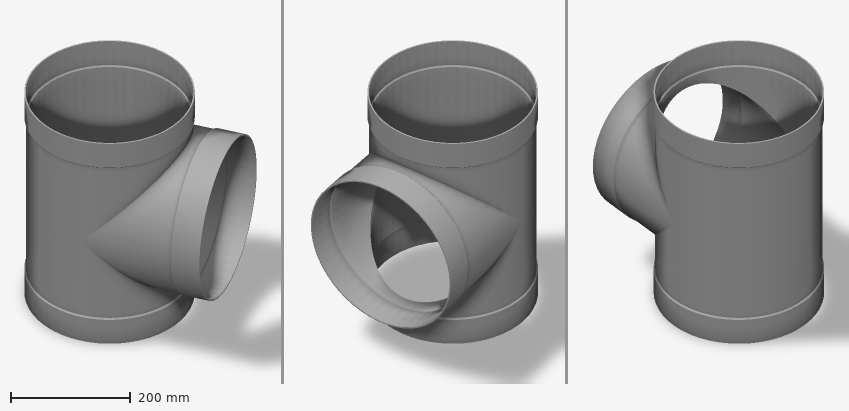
import cadquery as cq

height = 420.0
wall = 2.5
pipe_bore = 275.0
socket_length = 50.0
branch_reach = 210.0

pipe_diameter = pipe_bore + 2 * wall
socket_diameter = pipe_diameter + 2 * wall
half_height = height / 2
flare_length = wall


def rod(axis_plane, diameter, start, end):
    """Solid cylinder between two offsets along the normal of the plane."""
    return cq.Workplane(axis_plane).workplane(offset=start).circle(diameter / 2).extrude(end - start)


def socket_plug(axis_plane, diameter, mouth, outward):
    """Solid cylinder ending at the mouth, its inner end beveled by one wall thickness."""
    inner_end = mouth - outward * (socket_length + flare_length)
    plug = rod(axis_plane, diameter, inner_end, mouth)
    axis = {"XY": "Z", "YZ": "X"}[axis_plane]
    inner_side = "<" if outward > 0 else ">"
    return plug.faces(inner_side + axis).chamfer(flare_length)


def tee_solid(run_diameter, mouth_diameter):
    """Solid tee: main run and branch, with a wider flared socket at each mouth."""
    main_run = rod("XY", run_diameter, -half_height, half_height)
    branch = rod("YZ", run_diameter, 0, branch_reach)
    tee = main_run.union(branch)
    mouths = [("XY", half_height, 1), ("XY", -half_height, -1), ("YZ", branch_reach, 1)]
    for axis_plane, mouth, outward in mouths:
        tee = tee.union(socket_plug(axis_plane, mouth_diameter, mouth, outward))
    return tee


envelope = tee_solid(pipe_diameter, socket_diameter)
passage = tee_solid(pipe_bore, pipe_diameter)
result = envelope.cut(passage)